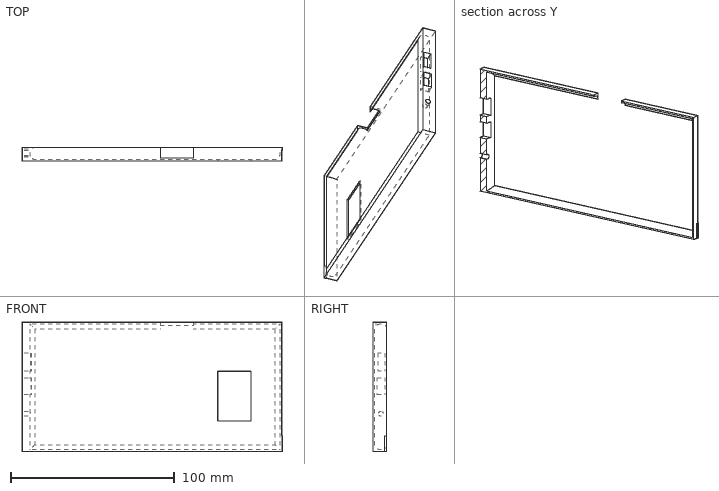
import cadquery as cq

length = 159.0
depth = 8.5
height = 79.0

tab_projection = 0.3
tab_depth = 1.5
tab_height = 9.5
body_length = length - tab_projection

wall = 1.3
port_wall = 5.0
plate_thickness = 1.0
front_radius = 3.2
lip_radius = 2.9

window_left = 119.5
window_bottom = 18.8
window_width = 20.2
window_height = 30.2

notch_left = 84.6
notch_width = 20.2
notch_floor = 2.0

port_back_margin = 1.0
ports = [
    (49.3, 11.0, 4.3),
    (34.8, 10.0, 5.0),
]

jack_diameter = 3.0
jack_back_margin = 3.5
jack_z = 23.0

cutter_start = -1.6
cutter_length = port_wall + max(front_radius, lip_radius) - cutter_start


def block(x, y, z, size_x, size_y, size_z):
    """Box placed by its minimum corner."""
    return cq.Workplane("XY").box(size_x, size_y, size_z, centered=False).translate((x, y, z))


def cavity():
    """Inner space, rounded at the plate and curling inwards at the open side."""
    space = block(
        port_wall, plate_thickness, wall,
        body_length - port_wall - wall, depth - plate_thickness, height - 2 * wall,
    )
    space = space.faces("<Y").edges().fillet(front_radius)
    return space.faces(">Y").edges().fillet(lip_radius)


def window():
    return block(window_left, 0, window_bottom, window_width, plate_thickness, window_height)


def top_notch():
    """Gap in the upper wall, open at the back and stopping short of the plate."""
    notch_height = wall + max(front_radius, lip_radius)
    return block(
        notch_left, notch_floor, height - notch_height,
        notch_width, depth - notch_floor, notch_height,
    )


def port(bottom, port_height, port_width):
    y = depth - port_back_margin - port_width
    return block(cutter_start, y, bottom, cutter_length, port_width, port_height)


def jack_hole():
    hole = cq.Workplane("YZ").circle(jack_diameter / 2).extrude(cutter_length)
    return hole.translate((cutter_start, depth - jack_back_margin, jack_z))


def side_tab():
    """Small strip standing out of the +X wall at the lower back corner."""
    return block(body_length, depth - tab_depth, 0, tab_projection, tab_depth, tab_height)


result = block(0, 0, 0, body_length, depth, height)
result = result.cut(cavity()).cut(window()).cut(top_notch()).cut(jack_hole())
for port_size in ports:
    result = result.cut(port(*port_size))
result = result.union(side_tab())